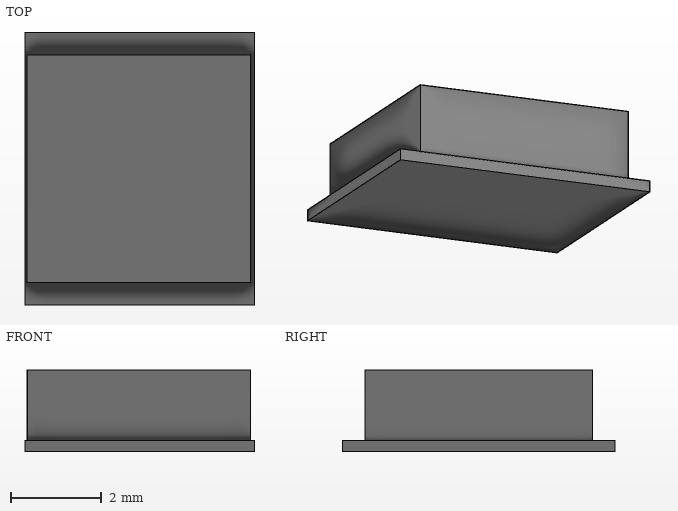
import cadquery as cq

base_width = 5.05
base_length = 6.0
total_height = 1.8

base_thickness = 0.25
left_ledge = 0.05
right_ledge = 0.09
end_ledge = 0.5

body_width = base_width - left_ledge - right_ledge
body_length = base_length - 2 * end_ledge
body_height = total_height - base_thickness
body_center_x = (left_ledge - right_ledge) / 2

base = cq.Workplane("XY").box(base_width, base_length, base_thickness, centered=(True, True, False))

body = (
    cq.Workplane("XY")
    .box(body_width, body_length, body_height, centered=(True, True, False))
    .translate((body_center_x, 0, base_thickness))
)

result = base.union(body)